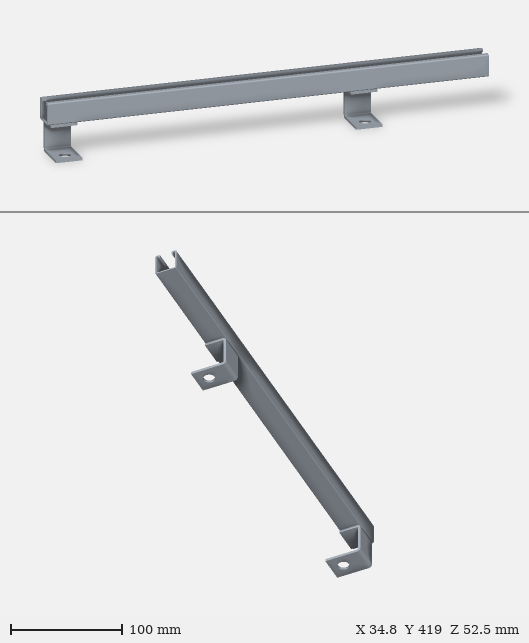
import cadquery as cq

rail_length = 419.0
rail_width = 21.0
rail_height = 21.0
rail_wall = 1.17
rail_bend_radius = 1.3
lip_reach = 4.5
lip_depth = 3.0

bracket_height = 31.5
foot_length = 34.8
strip_width = 25.0
strip_thickness = 2.5
bracket_bend_radius = 3.8
hole_diameter = 11.0
hole_x = 22.5
bracket_count = 2
first_bracket_y = 3.5
bracket_spacing = 285.0


def box(x, z, size_x, size_z, length):
    """Bar along +Y from y = 0 with its lower left corner at (x, z)."""
    return cq.Workplane("XY").box(size_x, length, size_z, centered=False).translate((x, 0, z))


def make_rail():
    """Channel with rounded outer corners and lips turned down beside the slot."""
    outer = box(0, 0, rail_width, rail_height, rail_length).edges("|Y").fillet(rail_bend_radius)
    cavity = box(
        rail_wall,
        rail_wall,
        rail_width - 2 * rail_wall,
        rail_height - 2 * rail_wall,
        rail_length,
    )
    slot = box(lip_reach, rail_wall, rail_width - 2 * lip_reach, rail_height, rail_length)
    rail = outer.cut(cavity).cut(slot)
    for lip_x in (lip_reach - rail_wall, rail_width - lip_reach):
        rail = rail.union(box(lip_x, rail_height - lip_depth, rail_wall, lip_depth, rail_length))
    return rail.translate((0, 0, bracket_height))


def make_bracket(start_y):
    """Strip bent into a C, with a short seat on top and a long drilled foot."""
    seat_bottom = bracket_height - strip_thickness
    profile = (
        cq.Workplane("XZ")
        .moveTo(foot_length, 0)
        .lineTo(0, 0)
        .lineTo(0, bracket_height)
        .lineTo(rail_width, bracket_height)
        .lineTo(rail_width, seat_bottom)
        .lineTo(strip_thickness, seat_bottom)
        .lineTo(strip_thickness, strip_thickness)
        .lineTo(foot_length, strip_thickness)
        .close()
    )
    bracket = profile.extrude(-strip_width)
    bracket = bracket.faces("<X").edges("|Y").fillet(bracket_bend_radius)
    inner_bends = cq.selectors.BoxSelector(
        (strip_thickness / 2, 0, strip_thickness / 2),
        (strip_thickness * 2, strip_width, bracket_height - strip_thickness / 2),
    )
    bracket = bracket.edges("|Y").edges(inner_bends).fillet(bracket_bend_radius - strip_thickness)
    hole = (
        cq.Workplane("XY")
        .center(hole_x, strip_width / 2)
        .circle(hole_diameter / 2)
        .extrude(strip_thickness)
    )
    return bracket.cut(hole).translate((0, start_y, 0))


rail = make_rail()
brackets = [make_bracket(first_bracket_y + i * bracket_spacing) for i in range(bracket_count)]

result = cq.Compound.makeCompound([rail.val(), *[bracket.val() for bracket in brackets]])